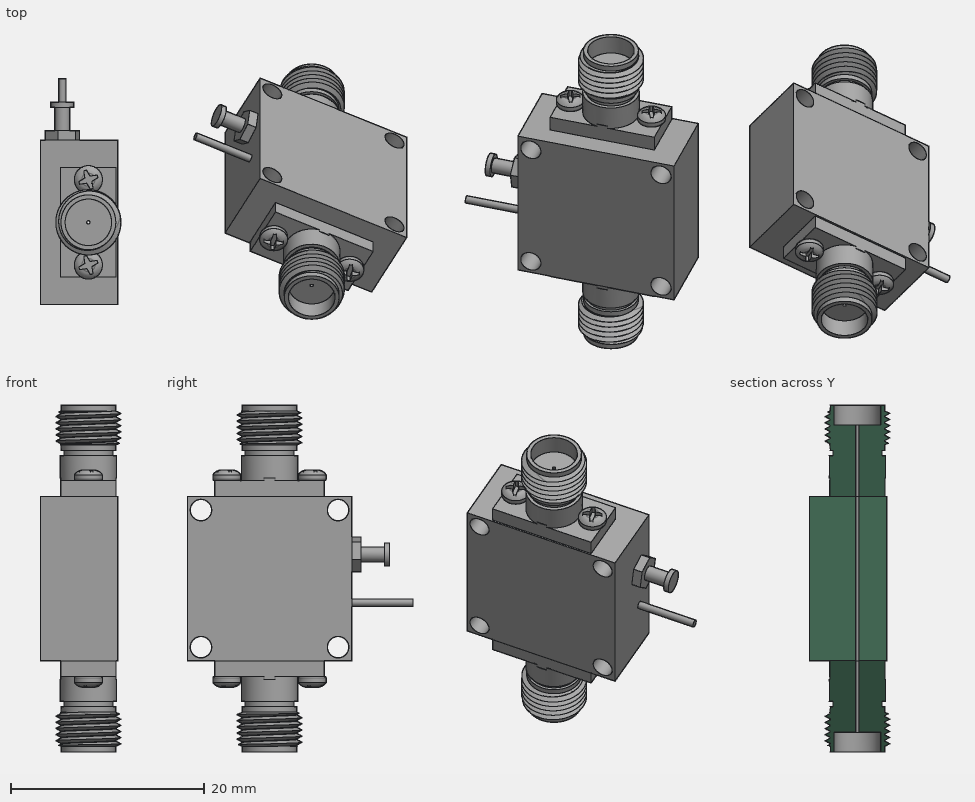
import cadquery as cq
import math


HOUSING_SIDE = 17.03
HOUSING_DEPTH = 8.0
AXIS_TO_FRONT = 4.95
MOUNT_SPACING = 14.2
MOUNT_DIAMETER = 2.2
CENTRE_HOLE_DIAMETER = 0.32
HALF_SIDE = HOUSING_SIDE / 2
FRONT_X = -AXIS_TO_FRONT

OVERALL_LENGTH = 35.92
TIP_Z = OVERALL_LENGTH / 2
FLANGE_WIDTH = 5.75
FLANGE_LENGTH = 11.35
FLANGE_THICKNESS = 1.6
FLANGE_TOP = HALF_SIDE + FLANGE_THICKNESS
BODY_DIAMETER = 5.85
BODY_LENGTH = 2.6
BODY_TOP = FLANGE_TOP + BODY_LENGTH
BODY_FLAT_HEIGHT = 0.3
GROOVE_DIAMETER = 5.1
GROOVE_LENGTH = 0.55
GROOVE_TOP = BODY_TOP + GROOVE_LENGTH
BARREL_DIAMETER = 5.68
SOCKET_DIAMETER = 4.8
SOCKET_DEPTH = 2.05

CREST_RADIUS = 3.38
SIX_TURNS_RISE = 3.8
THREAD_PITCH = SIX_TURNS_RISE / 6
THREAD_START = 13.8
THREAD_END = 17.4
THREAD_LEAD = 0.3
CREST_Z = 16.77
RIDGE_BASE = 0.6
CREST_CLEARANCE = 0.05
RIDGE_ROOT = 0.05

SCREW_OFFSET = 4.42
SCREW_DIAMETER = 2.9
SCREW_RIM_HEIGHT = 0.6
SCREW_HEIGHT = 1.1
SCREW_BOTTOM_FILLET = 0.18
DOME_FLAT_RADIUS = 0.7
DOME_MID_RADIUS = 1.15
DOME_MID_HEIGHT = 0.95
CROSS_REACH = 1.0
CROSS_ROOT_WIDTH = 0.57
CROSS_TIP_WIDTH = 0.3
CROSS_DEPTH = 0.8
CROSS_TURN = 20

TERMINAL_SPACING = 5.0
TERMINAL_INSET = 2.25
TERMINAL_X = FRONT_X + TERMINAL_INSET
HEX_FLATS = 3.25
HEX_THICKNESS = 0.97
HEX_TURN = 44
POST_DIAMETER = 1.58
POST_LENGTH = 2.4
HEAD_DIAMETER = 2.4
HEAD_THICKNESS = 0.55
PIN_DIAMETER = 0.8
PIN_LENGTH = 6.35


def cylinder_z(diameter, bottom, top):
    return cq.Workplane("XY").workplane(offset=bottom).circle(diameter / 2).extrude(top - bottom)


def cylinder_y(diameter, z, start, length):
    """Cylinder on the terminal line, growing toward +Y."""
    centre = cq.Vector(TERMINAL_X, start, z)
    return cq.Workplane(cq.Solid.makeCylinder(diameter / 2, length, centre, cq.Vector(0, 1, 0)))


def make_housing():
    block = cq.Workplane("XY").box(HOUSING_DEPTH, HOUSING_SIDE, HOUSING_SIDE)
    block = block.translate((FRONT_X + HOUSING_DEPTH / 2, 0, 0))
    mounts = (
        cq.Workplane("YZ", origin=(FRONT_X, 0, 0))
        .rect(MOUNT_SPACING, MOUNT_SPACING, forConstruction=True)
        .vertices()
        .circle(MOUNT_DIAMETER / 2)
        .extrude(HOUSING_DEPTH)
    )
    centre_hole = cylinder_z(CENTRE_HOLE_DIAMETER, -HALF_SIDE, HALF_SIDE)
    return block.cut(mounts).cut(centre_hole).solids()


def make_thread():
    """Sharp right-hand ridge, swept past both ends and trimmed by a cone at each end."""
    sweep_start = CREST_Z - math.ceil((CREST_Z - THREAD_START) / THREAD_PITCH + 1) * THREAD_PITCH
    sweep_height = THREAD_END + THREAD_PITCH - sweep_start
    root_radius = BARREL_DIAMETER / 2 - RIDGE_ROOT
    half_base = RIDGE_BASE / 2
    helix = cq.Wire.makeHelix(THREAD_PITCH, sweep_height, root_radius)
    ridge = (
        cq.Workplane("XZ")
        .moveTo(root_radius, -half_base)
        .lineTo(CREST_RADIUS, 0)
        .lineTo(root_radius, half_base)
        .close()
        .sweep(cq.Workplane(helix), isFrenet=True)
        .rotate((0, 0, 0), (0, 0, 1), 180)
        .translate((0, 0, sweep_start))
    )
    trim_radius = CREST_RADIUS + CREST_CLEARANCE
    inner_radius = root_radius - RIDGE_ROOT
    envelope = (
        cq.Workplane("XZ")
        .moveTo(inner_radius, THREAD_START)
        .lineTo(trim_radius, THREAD_START + THREAD_LEAD)
        .lineTo(trim_radius, THREAD_END - THREAD_LEAD)
        .lineTo(inner_radius, THREAD_END)
        .close()
        .revolve(360, (0, 0, 0), (0, 1, 0))
    )
    return ridge.intersect(envelope)


def flange_block(bottom, top):
    return cq.Workplane("XY").workplane(offset=bottom).rect(FLANGE_WIDTH, FLANGE_LENGTH).extrude(top - bottom)


def make_connector():
    """The upper connector, opening toward +Z."""
    flat_top = FLANGE_TOP + BODY_FLAT_HEIGHT
    flange = flange_block(HALF_SIDE, FLANGE_TOP)
    flat_zone = flange_block(FLANGE_TOP, flat_top)
    trimmed_body = cylinder_z(BODY_DIAMETER, FLANGE_TOP, flat_top).intersect(flat_zone)
    return (
        flange.union(trimmed_body)
        .union(cylinder_z(BODY_DIAMETER, flat_top, BODY_TOP))
        .union(cylinder_z(GROOVE_DIAMETER, BODY_TOP, GROOVE_TOP))
        .union(cylinder_z(BARREL_DIAMETER, GROOVE_TOP, TIP_Z))
        .union(make_thread())
        .cut(cylinder_z(SOCKET_DIAMETER, TIP_Z - SOCKET_DEPTH, TIP_Z))
        .cut(cylinder_z(CENTRE_HOLE_DIAMETER, HALF_SIDE, TIP_Z))
        .solids()
    )


def make_screw(y):
    """Domed head with a cross recess, seated on the upper flange."""
    radius = SCREW_DIAMETER / 2
    head = (
        cq.Workplane("XZ")
        .lineTo(radius, 0)
        .lineTo(radius, SCREW_RIM_HEIGHT)
        .threePointArc((DOME_MID_RADIUS, DOME_MID_HEIGHT), (DOME_FLAT_RADIUS, SCREW_HEIGHT))
        .lineTo(0, SCREW_HEIGHT)
        .close()
        .revolve(360, (0, 0, 0), (0, 1, 0))
        .faces("<Z")
        .edges()
        .fillet(SCREW_BOTTOM_FILLET)
    )
    half_tip = CROSS_TIP_WIDTH / 2
    half_root = CROSS_ROOT_WIDTH / 2
    arm = (
        cq.Workplane("XY")
        .workplane(offset=SCREW_HEIGHT - CROSS_DEPTH)
        .lineTo(half_root, -half_root)
        .lineTo(CROSS_REACH, -half_tip)
        .lineTo(CROSS_REACH, half_tip)
        .lineTo(half_root, half_root)
        .close()
        .extrude(CROSS_DEPTH)
    )
    for index in range(4):
        head = head.cut(arm.rotate((0, 0, 0), (0, 0, 1), CROSS_TURN + 90 * index))
    return head.translate((0, y, FLANGE_TOP)).solids()


def turned_over(body):
    """The same body at the lower end, turned half a turn about X."""
    return body.rotate((0, 0, 0), (1, 0, 0), 180)


def make_terminal():
    z = TERMINAL_SPACING / 2
    corner_radius = HEX_FLATS / math.sqrt(3)
    corners = []
    for index in range(6):
        angle = math.radians(HEX_TURN + 60 * index)
        corners.append((corner_radius * math.cos(angle), corner_radius * math.sin(angle)))
    nut = (
        cq.Workplane("XZ", origin=(TERMINAL_X, HALF_SIDE, z))
        .polyline(corners)
        .close()
        .extrude(-HEX_THICKNESS)
    )
    post_start = HALF_SIDE + HEX_THICKNESS
    post = cylinder_y(POST_DIAMETER, z, post_start, POST_LENGTH)
    head = cylinder_y(HEAD_DIAMETER, z, post_start + POST_LENGTH, HEAD_THICKNESS)
    return nut.union(post).union(head).solids()


def make_pin():
    return cylinder_y(PIN_DIAMETER, -TERMINAL_SPACING / 2, HALF_SIDE, PIN_LENGTH)


housing = make_housing()
upper_connector = make_connector()
connectors = [upper_connector, turned_over(upper_connector)]
screws = []
for screw_y in (-SCREW_OFFSET, SCREW_OFFSET):
    upper_screw = make_screw(screw_y)
    screws += [upper_screw, turned_over(upper_screw)]
terminal = make_terminal()
pin = make_pin()

result = cq.Compound.makeCompound(
    [
        housing.val(),
        *[connector.val() for connector in connectors],
        *[screw.val() for screw in screws],
        terminal.val(),
        pin.val(),
    ]
)